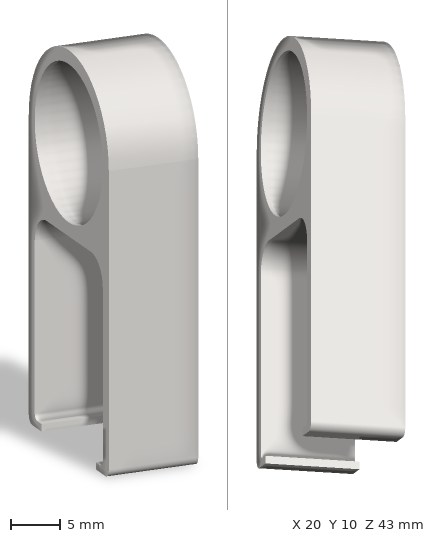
import cadquery as cq

width = 20.0
depth = 10.0
wall = 1.5
ring_center_height = 33.0

ring_radius = width / 2
hole_diameter = 17.0
opening_width = width - 2 * wall
opening_top = ring_center_height - hole_diameter / 2 - wall
opening_corner_radius = 3.0

hook_thickness = 0.8
hook_gap = 13.6
hook_outer_radius = 0.9
hook_inner_radius = 0.6


def box_between(box_width, bottom, top):
    """Full-depth box centred on X and Y, from the bottom to the top height."""
    return cq.Workplane("XY").workplane(offset=bottom).rect(box_width, depth).extrude(top - bottom)


def make_body():
    """Solid outline: straight sides with rounded feet and a semicircular top."""
    outline = (
        cq.Workplane("XZ", origin=(0, depth / 2, 0))
        .moveTo(-ring_radius, 0)
        .lineTo(ring_radius, 0)
        .lineTo(ring_radius, ring_center_height)
        .threePointArc((0, ring_center_height + ring_radius), (-ring_radius, ring_center_height))
        .close()
    )
    return outline.extrude(depth).faces("<Z").edges("|Y").fillet(hook_outer_radius)


def make_ring_hole():
    """Round hole through the full depth, concentric with the top."""
    axis_end = cq.Workplane("XZ", origin=(0, depth / 2, ring_center_height))
    return axis_end.circle(hole_diameter / 2).extrude(depth)


def make_leg_opening():
    """Space between the legs, rounded at the web and above the hooks."""
    opening = box_between(opening_width, hook_thickness, opening_top)
    opening = opening.faces(">Z").edges("|Y").fillet(opening_corner_radius)
    opening = opening.faces("<Z").edges("|Y").fillet(hook_inner_radius)
    gap = box_between(hook_gap, 0, opening_top / 2)
    return opening.union(gap)


result = make_body().cut(make_ring_hole()).cut(make_leg_opening())